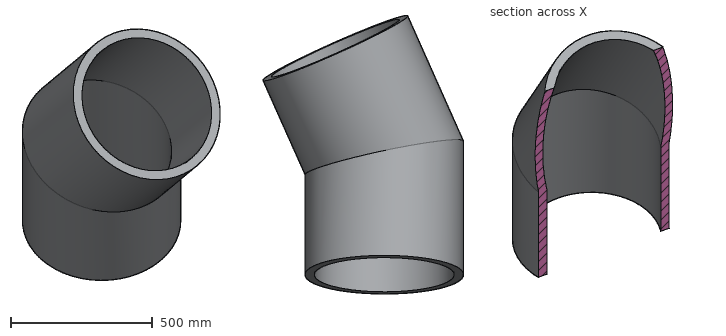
import cadquery as cq
import math

overall_height = 933.0
outer_diameter = 560.0
inner_diameter = 494.0
bend_angle = math.radians(30.0)

end_rise = outer_diameter / 2 * math.sin(bend_angle)
leg_length = (overall_height - end_rise) / (1 + math.cos(bend_angle))

joint = (0, leg_length)
open_end = (
    leg_length * math.sin(bend_angle),
    leg_length * (1 + math.cos(bend_angle)),
)
centre_line = cq.Workplane("XZ").polyline([(0, 0), joint, open_end])

pipe_section = cq.Workplane("XY").circle(outer_diameter / 2).circle(inner_diameter / 2)
result = pipe_section.sweep(centre_line, transition="right")